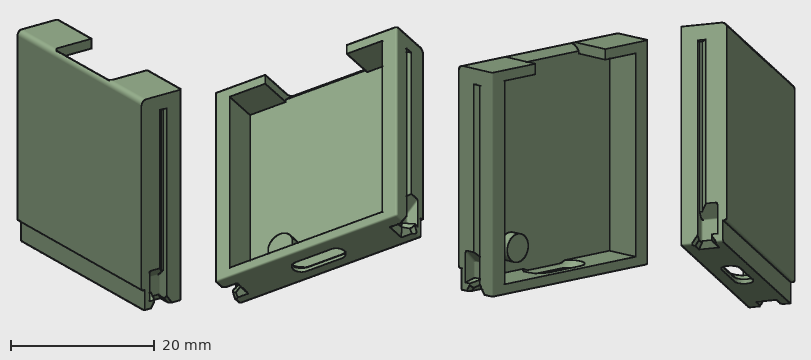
import cadquery as cq

WIDTH, DEPTH, HEIGHT = 30.0, 6.8, 32.0
BACK_Y = DEPTH / 2
FRONT_Y = -DEPTH / 2
HALF_WIDTH = WIDTH / 2
TOP_ROUND = 0.8
EDGE_ROUND = 0.3
OVERCUT = 0.32

STEP_DEPTH, STEP_HEIGHT, STEP_ROUND = 0.58, 3.15, 0.35

PLATE = 1.5
SIDE_WALL = 2.4
CAVITY_FRONT_Y = FRONT_Y + PLATE

NOTCH_WIDTH, NOTCH_CORNER = 13.45, 0.65
NOTCH_LIP_DROP = 0.1
NOTCH_FRONT_Y = FRONT_Y + 0.48
NOTCH_RAMP = CAVITY_FRONT_Y - NOTCH_FRONT_Y

PORT_LENGTH, PORT_HEIGHT, PORT_Y = 8.4, 2.65, 0.05
FUNNEL_STAGES = ((0.32, 0.45), (0.55, 0.45))

POST_RADIUS, POST_HEIGHT = 2.0, 1.6
POST_X, POST_Z = 6.6, 5.12

GROOVE_BACK_Y, GROOVE_FRONT_Y = 0.9, -0.32
GROOVE_DEPTH, GROOVE_TOP = 0.85, 29.75

POCKET_DEPTH, POCKET_FRONT_Y = 1.75, -2.0
POCKET_TOP = 5.82
HOOK_TOP, HOOK_TOP_INNER = 1.25, 1.65
POCKET_CORNER, POCKET_FLOOR_ROUND = 0.3, 0.25
NECK_FRONT_Y, NECK_FRONT_Y_INNER = -1.2, -0.58

FLARE_HEIGHT, FLARE_DEPTH, FLARE_HALF_WIDTH = 1.0, 2.37, 1.47
SIDE_FLARE_HEIGHT, SIDE_FLARE_HALF_WIDTH = 1.35, 1.85
SIDE_FLARE_DEPTH = 0.65
THROAT_BACK_Y = 0.75


def box(x_range, y_range, z_range):
    """Box spanning three coordinate ranges."""
    sizes = [high - low for low, high in (x_range, y_range, z_range)]
    corner = (x_range[0], y_range[0], z_range[0])
    return cq.Workplane("XY").box(*sizes, centered=False).translate(corner)


def make_body():
    """Outer block with the grip step and all outer rounds."""
    step_y = FRONT_Y + STEP_DEPTH
    outline = [
        (step_y, 0), (BACK_Y, 0), (BACK_Y, HEIGHT),
        (FRONT_Y, HEIGHT), (FRONT_Y, STEP_HEIGHT), (step_y, STEP_HEIGHT),
    ]
    body = cq.Workplane("YZ").polyline(outline).close().extrude(HALF_WIDTH, both=True)
    body = body.edges("|X and >Z and <Y").fillet(TOP_ROUND)
    step_edge = cq.selectors.NearestToPointSelector((0, FRONT_Y, STEP_HEIGHT))
    body = body.edges(step_edge).fillet(STEP_ROUND)
    bottom_sides = body.faces("<Z").edges("|Y or >Y")
    back_sides = body.faces(">Y").edges("|Z")
    return body.newObject(bottom_sides.vals() + back_sides.vals()).fillet(EDGE_ROUND)


def make_cavity():
    """Space enclosed by the front plate and the four walls."""
    half = HALF_WIDTH - SIDE_WALL
    return box((-half, half), (CAVITY_FRONT_Y, BACK_Y + OVERCUT), (PLATE, HEIGHT - PLATE))


def make_notch():
    """Opening through the top wall with a ramp down to the front plate."""
    half = NOTCH_WIDTH / 2
    bottom = HEIGHT - PLATE
    top = HEIGHT + OVERCUT
    ramp_top = HEIGHT - NOTCH_LIP_DROP
    back = BACK_Y + OVERCUT
    profile = [
        (CAVITY_FRONT_Y, bottom), (CAVITY_FRONT_Y, ramp_top - NOTCH_RAMP),
        (NOTCH_FRONT_Y, ramp_top), (NOTCH_FRONT_Y, top), (back, top), (back, bottom),
    ]
    ramped = cq.Workplane("YZ").polyline(profile).close().extrude(half, both=True)
    rounded = box((-half, half), (NOTCH_FRONT_Y, back), (bottom, top))
    return ramped.intersect(rounded.edges("|Z and <Y").fillet(NOTCH_CORNER))


def make_port():
    """Rounded slot through the bottom wall and its funnel."""
    def slot_plane(z):
        return cq.Workplane("XY", origin=(0, PORT_Y, z))

    port = slot_plane(-OVERCUT).slot2D(PORT_LENGTH, PORT_HEIGHT).extrude(PLATE + OVERCUT)
    z = PLATE - sum(height for height, _ in FUNNEL_STAGES)
    widening = 0.0
    for height, step in FUNNEL_STAGES:
        lower = (PORT_LENGTH + 2 * widening, PORT_HEIGHT + 2 * widening)
        widening += step
        upper = (PORT_LENGTH + 2 * widening, PORT_HEIGHT + 2 * widening)
        stage = slot_plane(z).slot2D(*lower).workplane(offset=height).slot2D(*upper)
        port = port.union(stage.loft(ruled=True))
        z += height
    kept = box((-HALF_WIDTH, HALF_WIDTH), (CAVITY_FRONT_Y, BACK_Y), (-OVERCUT, PLATE))
    return port.intersect(kept)


def make_post():
    """Round post with its axis along Y."""
    base = cq.Workplane("XZ", origin=(POST_X, CAVITY_FRONT_Y, POST_Z))
    return base.circle(POST_RADIUS).extrude(-POST_HEIGHT)


def make_groove():
    """Guide groove in the -X side."""
    outline = [
        (-HALF_WIDTH, GROOVE_BACK_Y), (-HALF_WIDTH, GROOVE_FRONT_Y),
        (-HALF_WIDTH + GROOVE_DEPTH, GROOVE_FRONT_Y + GROOVE_DEPTH),
        (-HALF_WIDTH + GROOVE_DEPTH, GROOVE_BACK_Y),
    ]
    groove = cq.Workplane("XY", origin=(0, 0, HOOK_TOP_INNER)).polyline(outline).close()
    return groove.extrude(GROOVE_TOP - HOOK_TOP_INNER)


def make_pocket():
    """Latch pocket in the -X side with a 45 degree ceiling, above the hook."""
    floor_x = -HALF_WIDTH + POCKET_DEPTH
    profile = [
        (-HALF_WIDTH, POCKET_TOP), (-HALF_WIDTH, HOOK_TOP),
        (floor_x, HOOK_TOP_INNER), (floor_x, POCKET_TOP - POCKET_DEPTH),
    ]
    plane = cq.Workplane("XZ", origin=(0, GROOVE_BACK_Y, 0))
    pocket = plane.polyline(profile).close().extrude(GROOVE_BACK_Y - POCKET_FRONT_Y)
    ceiling_mid = POCKET_TOP - POCKET_DEPTH / 2
    corner = cq.selectors.NearestToPointSelector(
        (-HALF_WIDTH + POCKET_DEPTH / 2, POCKET_FRONT_Y, ceiling_mid)
    )
    pocket = pocket.edges(corner).fillet(POCKET_CORNER)
    return pocket.faces(">X").edges("not(<Z)").fillet(POCKET_FLOOR_ROUND)


def make_neck():
    """Passage beside the hook, narrowing towards its floor."""
    floor_x = -HALF_WIDTH + POCKET_DEPTH
    outline = [
        (-HALF_WIDTH, GROOVE_BACK_Y), (-HALF_WIDTH, NECK_FRONT_Y),
        (floor_x, NECK_FRONT_Y_INNER), (floor_x, GROOVE_BACK_Y),
    ]
    neck_top = HOOK_TOP_INNER + 2 * POCKET_FLOOR_ROUND
    neck = cq.Workplane("XY").polyline(outline).close().extrude(neck_top)
    return neck.edges("|Z and >X and >Y").fillet(POCKET_FLOOR_ROUND)


def make_flare():
    """Mouth in the bottom that spreads in all directions, and again towards the side."""
    outer_x = -HALF_WIDTH - OVERCUT
    floor_x = -HALF_WIDTH + POCKET_DEPTH
    flare_x = -HALF_WIDTH + FLARE_DEPTH
    mouth = [
        (outer_x, FLARE_HALF_WIDTH), (outer_x, -FLARE_HALF_WIDTH),
        (flare_x, -FLARE_HALF_WIDTH), (flare_x, FLARE_HALF_WIDTH),
    ]
    throat = [
        (outer_x, THROAT_BACK_Y), (outer_x, NECK_FRONT_Y_INNER),
        (floor_x, NECK_FRONT_Y_INNER), (floor_x, THROAT_BACK_Y),
    ]
    flare = cq.Workplane("XY").polyline(mouth).close()
    flare = flare.workplane(offset=FLARE_HEIGHT).polyline(throat).close().loft(ruled=True)

    side_opening = [
        (GROOVE_BACK_Y, SIDE_FLARE_HEIGHT), (SIDE_FLARE_HALF_WIDTH, 0),
        (-SIDE_FLARE_HALF_WIDTH, 0), (NECK_FRONT_Y, FLARE_HEIGHT),
    ]
    inner_section = [
        (THROAT_BACK_Y, FLARE_HEIGHT), (FLARE_HALF_WIDTH, 0),
        (-FLARE_HALF_WIDTH, 0), (NECK_FRONT_Y_INNER, FLARE_HEIGHT),
    ]
    side_flare = cq.Workplane("YZ", origin=(-HALF_WIDTH, 0, 0)).polyline(side_opening).close()
    side_flare = side_flare.workplane(offset=SIDE_FLARE_DEPTH).polyline(inner_section).close()
    return flare.union(side_flare.loft(ruled=True))


result = make_body().cut(make_cavity()).cut(make_notch()).cut(make_port())
result = result.union(make_post())

for cutter in (make_groove(), make_pocket(), make_neck(), make_flare()):
    result = result.cut(cutter).cut(cutter.mirror("YZ"))